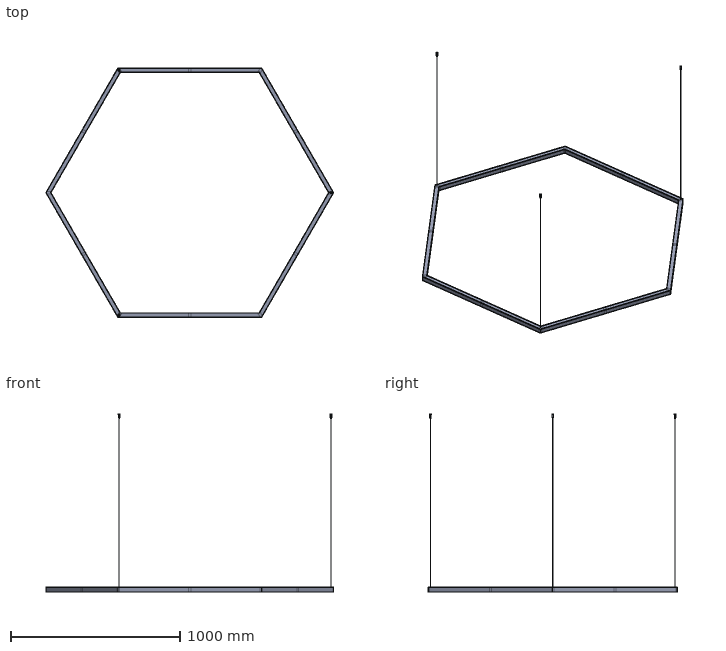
import cadquery as cq
import math

OUTER_WIDTH = 1700.0
FRAME_WIDTH = 25.0
FRAME_HEIGHT = 30.0
COVER_HEIGHT = 3.0
COVER_INSET = 1.0
JOINT_LENGTH = 15.0
SIDES = 6

TOTAL_HEIGHT = 1052.0
WIRE_DIAMETER = 1.2
GRIPPER_DIAMETER = 9.0
GRIPPER_HEIGHT = 25.0
FLANGE_DIAMETER = 11.0
FLANGE_HEIGHT = 1.0
NECK_DIAMETER = 4.0
NECK_HEIGHT = 5.0
WIRE_COUNT = 3
WIRE_RADIUS = 835.0

CORNER_RATIO = 1 / math.cos(math.pi / SIDES)
OUTER_APOTHEM = OUTER_WIDTH / 2 / CORNER_RATIO
INNER_APOTHEM = OUTER_APOTHEM - FRAME_WIDTH
HOUSING_HEIGHT = FRAME_HEIGHT - COVER_HEIGHT
GRIPPER_BOTTOM = TOTAL_HEIGHT - GRIPPER_HEIGHT


def hexagon_ring(bottom, height, inset):
    """Plain hexagonal ring, with its outer and inner walls both moved into it by the inset."""
    outer_diameter = 2 * (OUTER_APOTHEM - inset) * CORNER_RATIO
    inner_diameter = 2 * (INNER_APOTHEM + inset) * CORNER_RATIO
    return (
        cq.Workplane("XY", origin=(0, 0, bottom))
        .polygon(SIDES, outer_diameter)
        .polygon(SIDES, inner_diameter)
        .extrude(height)
    )


def joint_blocks():
    """Radial blocks through the frame at every corner and every side middle."""
    block = cq.Workplane("XY").box(
        OUTER_WIDTH, JOINT_LENGTH, 2 * FRAME_HEIGHT, centered=(False, True, True)
    )
    blocks = block
    joint_count = 2 * SIDES
    for index in range(1, joint_count):
        blocks = blocks.union(block.rotate((0, 0, 0), (0, 0, 1), index * 360 / joint_count))
    return blocks


def jointed_ring(bottom, height, inset):
    """One solid ring that keeps flush seams on its faces at both ends of every joint piece."""
    ring = hexagon_ring(bottom, height, inset)
    blocks = joint_blocks()
    return ring.cut(blocks).union(ring.intersect(blocks), clean=False)


def cylinder(x, y, bottom, diameter, height):
    return cq.Workplane("XY", origin=(x, y, bottom)).circle(diameter / 2).extrude(height)


def make_wire(x, y):
    return cylinder(x, y, FRAME_HEIGHT, WIRE_DIAMETER, GRIPPER_BOTTOM - FRAME_HEIGHT)


def make_gripper(x, y):
    """Neck, barrel and top flange, stacked on the end of the wire."""
    barrel_bottom = GRIPPER_BOTTOM + NECK_HEIGHT
    flange_bottom = TOTAL_HEIGHT - FLANGE_HEIGHT
    neck = cylinder(x, y, GRIPPER_BOTTOM, NECK_DIAMETER, NECK_HEIGHT)
    barrel = cylinder(x, y, barrel_bottom, GRIPPER_DIAMETER, flange_bottom - barrel_bottom)
    flange = cylinder(x, y, flange_bottom, FLANGE_DIAMETER, FLANGE_HEIGHT)
    return neck.union(barrel).union(flange)


housing = jointed_ring(0, HOUSING_HEIGHT, 0)
cover = jointed_ring(HOUSING_HEIGHT, COVER_HEIGHT, COVER_INSET)

wires = []
grippers = []
for index in range(WIRE_COUNT):
    angle = index * 2 * math.pi / WIRE_COUNT
    wire_x = WIRE_RADIUS * math.cos(angle)
    wire_y = WIRE_RADIUS * math.sin(angle)
    wires.append(make_wire(wire_x, wire_y).val())
    grippers.append(make_gripper(wire_x, wire_y).val())

result = cq.Compound.makeCompound([housing.val(), cover.val(), *wires, *grippers])